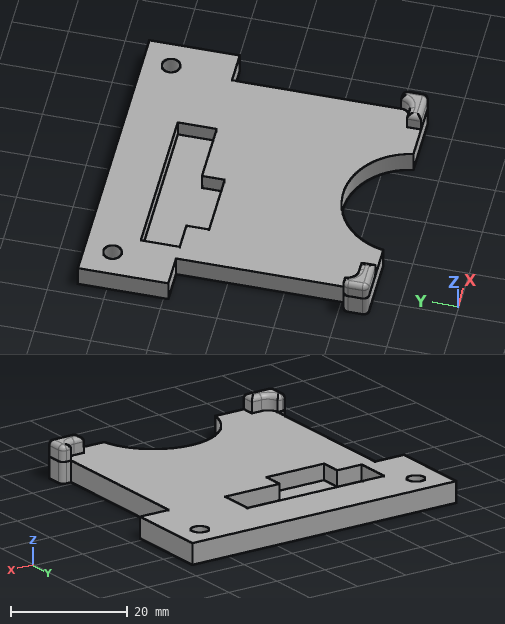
import cadquery as cq

plate_length = 50.3
plate_thickness = 4.0
head_width = 55.0
head_length = 16.0
body_width = 43.0

foot_overhang = 2.0
foot_length = 4.5
corner_radius = 1.0
feet_width = body_width + 2 * foot_overhang

overall_height = 7.0
clip_height = overall_height - plate_thickness
clip_width = 6.0
clip_inner_radius = 2.0
clip_top_radius = 0.95
clip_arm_depth = foot_length - clip_inner_radius

notch_radius = 11.7
notch_center_y = -2.0

hole_diameter = 3.2
hole_inset = 5.0

pocket_depth = 3.0
pocket_left = -18.7
pocket_width = 28.45
pocket_front = 34.3
pocket_length = 6.9
tab_left = -13.6
tab_width = 12.0
tab_length = 4.0


def block(left, front, width, length, bottom, height):
    """Box given by its left, front and bottom faces."""
    return cq.Workplane("XY").box(width, length, height, centered=False).translate((left, front, bottom))


def make_pocket():
    """Volume removed by the pocket: a wide bar with a tab towards the front."""
    floor = plate_thickness - pocket_depth
    bar = block(pocket_left, pocket_front, pocket_width, pocket_length, floor, pocket_depth)
    tab = block(tab_left, pocket_front - tab_length, tab_width, tab_length, floor, pocket_depth)
    return bar.union(tab)


def make_plate():
    head_front = plate_length - head_length
    head = block(-head_width / 2, head_front, head_width, head_length, 0, plate_thickness)
    body = block(-body_width / 2, 0, body_width, head_front, 0, plate_thickness)
    feet = block(-feet_width / 2, 0, feet_width, foot_length, 0, plate_thickness)
    feet = feet.edges("|Z").fillet(corner_radius)
    plate = head.union(body).union(feet)

    notch = cq.Workplane("XY").center(0, notch_center_y).circle(notch_radius).extrude(plate_thickness)
    hole_x = head_width / 2 - hole_inset
    hole_y = plate_length - hole_inset
    holes = (
        cq.Workplane("XY")
        .pushPoints([(-hole_x, hole_y), (hole_x, hole_y)])
        .circle(hole_diameter / 2)
        .extrude(plate_thickness)
    )
    return plate.cut(notch).cut(holes).cut(make_pocket())


def make_clip(side):
    """Clip on the left (side = -1) or right (side = 1) front corner."""
    outer_x = side * feet_width / 2
    inner_x = side * (feet_width / 2 - clip_width)
    wall_x = side * body_width / 2
    arc_start_x = wall_x - side * clip_inner_radius
    clip = (
        cq.Workplane("XY", origin=(0, 0, plate_thickness))
        .moveTo(outer_x, 0)
        .lineTo(inner_x, 0)
        .lineTo(inner_x, clip_arm_depth)
        .lineTo(arc_start_x, clip_arm_depth)
        .radiusArc((wall_x, foot_length), -side * clip_inner_radius)
        .lineTo(outer_x, foot_length)
        .close()
        .extrude(clip_height)
    )
    outer_face = ">X" if side > 0 else "<X"
    clip = clip.faces(outer_face).edges("|Z").fillet(corner_radius)
    return clip.faces(">Z").edges().fillet(clip_top_radius)


plate = make_plate()
clips = [make_clip(side) for side in (-1, 1)]

result = cq.Compound.makeCompound([plate.val(), *[clip.val() for clip in clips]])